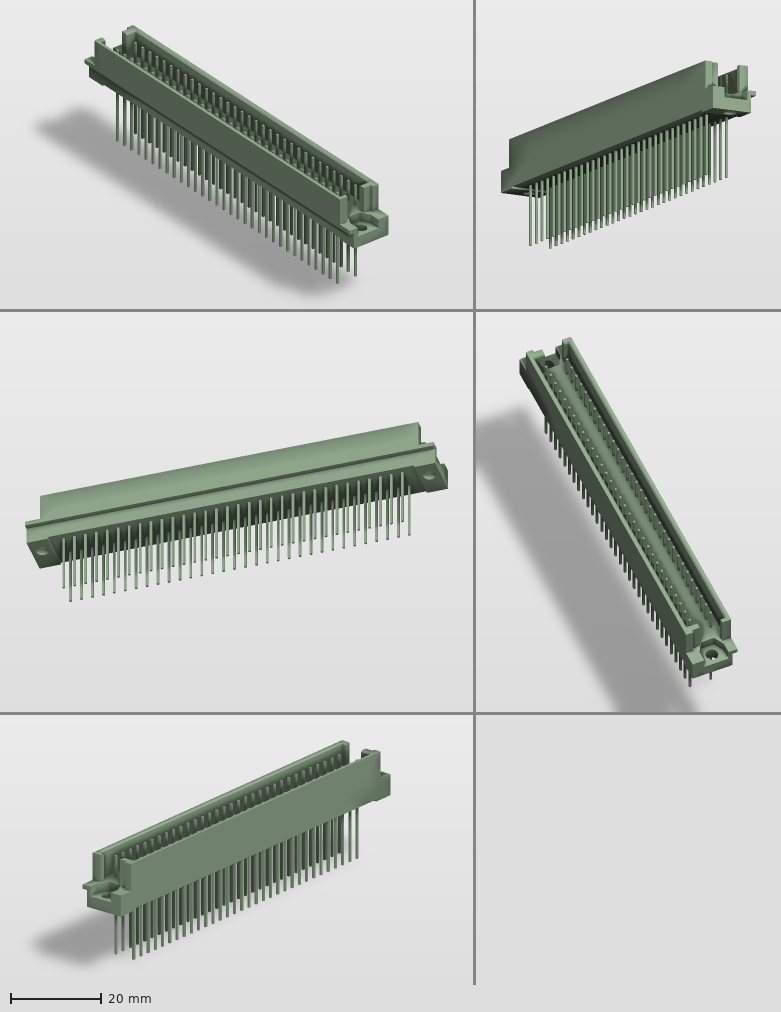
import cadquery as cq
length = 95.0
depth = 10.9
body_depth = 9.7
rim_z = 11.5
floor_z = 5.0
ledge_z = 4.0
underside_z = 0.5
foot_length = 4.9

wall_inset = 3.5
wall = 1.0
mouth_chamfer = 0.33
mouth_split_y = -5.7
back_post_step = 0.7
back_post_step_depth = 1.7
back_post_depth = 3.6
back_post_inner = 5.8
front_post_depth = 2.2
front_post_inner = 4.75

recess_z = 2.8
recess_centre_y = -5.8
recess_half_width = 2.9
recess_tip_half_width = 1.6
recess_straight = 2.6
recess_length = 5.0
hole_pitch = 90.0
hole_diameter = 2.85

pins_per_row = 32
row_length = 78.8
pin_pitch = row_length / (pins_per_row - 1)
row_pitch = 2 * pin_pitch
rows_offset = 0.33
rows_centre_y = recess_centre_y + rows_offset
pin_side = 0.5
pin_top_drop = 1.3
total_height = 24.8
pin_top_z = rim_z - pin_top_drop
pin_bottom_z = rim_z - total_height

half = length / 2


def box(x0, x1, y0, y1, z0, z1):
    return cq.Workplane("XY").box(x1 - x0, y1 - y0, z1 - z0, centered=False).translate((x0, y0, z0))


def prism(points, z0, z1):
    return cq.Workplane("XY").workplane(offset=z0).polyline(points).close().extrude(z1 - z0)


def mirrored(points):
    """Continue a right-hand outline with its mirror image in X."""
    return points + [(-x, y) for x, y in reversed(points)]


def base():
    """Flange plate with the front ledge and a foot under each end."""
    plate = box(-half, half, -body_depth, 0, 0, floor_z)
    ledge = box(-half, half, -depth, 0, ledge_z, floor_z)
    foot_gap = half - foot_length
    relief = box(-foot_gap, foot_gap, -body_depth, 0, 0, underside_z)
    return plate.union(ledge).cut(relief)


def back_wall():
    """Long back wall with a stepped post at each end."""
    outer = half - wall_inset
    inner = half - back_post_inner
    return prism(mirrored([
        (outer, 0),
        (outer, -back_post_step_depth),
        (outer - back_post_step, -back_post_step_depth),
        (outer - back_post_step, -back_post_depth),
        (inner, -back_post_depth),
        (inner, -wall),
    ]), floor_z, rim_z)


def front_wall():
    """Long front wall with a short post at each end."""
    outer = half - wall_inset
    inner = half - front_post_inner
    return prism(mirrored([
        (outer, -depth),
        (outer, front_post_depth - depth),
        (inner, front_post_depth - depth),
        (inner, wall - depth),
    ]), floor_z, rim_z)


def mouth(x_half, y_back, y_front):
    """Flared cutter that chamfers the inner rim edges of the walls around it."""
    return (
        cq.Workplane("XY").workplane(offset=rim_z - mouth_chamfer)
        .center(0, (y_back + y_front) / 2)
        .rect(2 * x_half, y_back - y_front)
        .extrude(mouth_chamfer, taper=-45)
    )


def recess():
    """Screw recess that narrows inward from the +X end of the flange."""
    straight_x = half - recess_straight
    tip_x = half - recess_length
    return prism([
        (half, recess_centre_y + recess_half_width),
        (straight_x, recess_centre_y + recess_half_width),
        (tip_x, recess_centre_y + recess_tip_half_width),
        (tip_x, recess_centre_y - recess_tip_half_width),
        (straight_x, recess_centre_y - recess_half_width),
        (half, recess_centre_y - recess_half_width),
    ], recess_z, floor_z)


def screw_holes():
    return (
        cq.Workplane("XY")
        .pushPoints([(side * hole_pitch / 2, recess_centre_y) for side in (-1, 1)])
        .circle(hole_diameter / 2)
        .extrude(floor_z)
    )


def contact_pins():
    """Two rows of square pins through the floor."""
    return (
        cq.Workplane("XY").workplane(offset=pin_bottom_z)
        .center(0, rows_centre_y)
        .rarray(pin_pitch, row_pitch, pins_per_row, 2)
        .rect(pin_side, pin_side)
        .extrude(pin_top_z - pin_bottom_z)
    )


housing = base().union(back_wall()).union(front_wall())
housing = housing.cut(mouth(half - back_post_inner, -wall, mouth_split_y))
housing = housing.cut(mouth(half - front_post_inner, mouth_split_y, wall - depth))
housing = housing.cut(recess()).cut(recess().mirror("YZ"))
housing = housing.cut(screw_holes())
housing = housing.union(contact_pins())

result = cq.Compound.makeCompound([housing.val()])